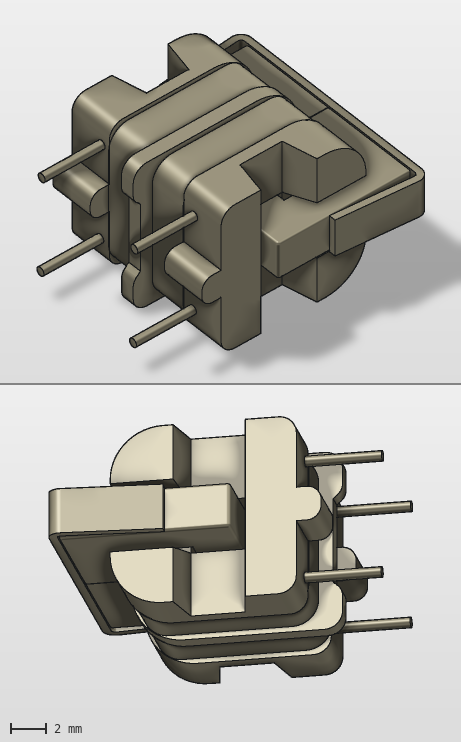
import cadquery as cq
import math

BACK_Y = 18.3

CLIP_WIDTH = 16.15
CLIP_THICKNESS = 0.5
CLIP_INNER_RADIUS = 0.25
CLIP_TIP_Y = 11.77

CORE_LENGTH = 14.15
CORE_HEIGHT = 2.65
CORE_FRONT_Y = 8.02
CORE_BACK_Y = BACK_Y - CLIP_THICKNESS
CORE_EDGE_RADIUS = 0.2
WINDOW_LENGTH = 8.85
WINDOW_FRONT_Y = 10.7
WINDOW_BACK_Y = 15.1
CORE_GAP = 0.04

BOBBIN_HEIGHT = 10.6
BOBBIN_BACK_Y = 15.0
BACK_CORNER_RADIUS = 3.0
FRONT_CORNER_RADIUS = 1.02
FOOT_Y = 2.98

BOBBIN_LENGTH = 12.85
BLOCK_INNER_X = 3.2
BLOCK_OUTER_X = BOBBIN_LENGTH / 2
BLOCK_FRONT_Y = 4.4
LUG_HEIGHT = 2.01
LUG_RADIUS = 0.8

CORE_CLEARANCE = 0.2
PASSAGE_FRONT_Y = CORE_FRONT_Y - CORE_CLEARANCE
PASSAGE_BACK_Y = WINDOW_FRONT_Y + CORE_CLEARANCE
PASSAGE_HEIGHT = CORE_HEIGHT + 2 * CORE_CLEARANCE
CHANNEL_FLOOR_X = 4.03
CHANNEL_FLARE = 0.51

SEPARATOR_THICKNESS = 1.0
SEPARATOR_CLEARANCE = 0.05
NOTCH_FLOOR_Y = 3.51
NOTCH_MOUTH_HEIGHT = 6.0
LOBE_RADIUS = 0.8

DRUM_FRONT_Y = 4.34
DRUM_BACK_Y = 14.35
DRUM_HEIGHT = 10.01
DRUM_CORNER_RADIUS = 1.5
DRUM_INNER_X = SEPARATOR_THICKNESS / 2 + SEPARATOR_CLEARANCE
TUBE_WALL = 0.5

PIN_DIAMETER = 0.6
PIN_X = 3.99
PIN_Z = 3.5
UPPER_ROW_SHIFT = 0.11


def box(x_min, x_max, y_min, y_max, height):
    """Box between two X limits and two Y limits, centred on Z = 0."""
    centre = ((x_min + x_max) / 2, (y_min + y_max) / 2, 0)
    return cq.Workplane("XY").box(x_max - x_min, y_max - y_min, height).translate(centre)


def make_clip():
    outer_radius = CLIP_INNER_RADIUS + CLIP_THICKNESS
    bend_x = CLIP_WIDTH / 2 - outer_radius
    bend_y = BACK_Y - outer_radius
    tip_inner_x = CORE_LENGTH / 2

    tip_dx = tip_inner_x - bend_x
    tip_dy = CLIP_TIP_Y - bend_y
    tip_distance = math.hypot(tip_dx, tip_dy)
    arm_angle = math.atan2(tip_dy, tip_dx) + math.acos(CLIP_INNER_RADIUS / tip_distance)
    middle_angle = (arm_angle + math.pi / 2) / 2
    tip_outer_x = tip_inner_x + CLIP_THICKNESS / math.cos(arm_angle)

    def bend_point(radius, angle):
        return (bend_x + radius * math.cos(angle), bend_y + radius * math.sin(angle))

    half = (
        cq.Workplane("XY", origin=(0, 0, -CORE_HEIGHT / 2))
        .moveTo(0, BACK_Y)
        .lineTo(bend_x, BACK_Y)
        .threePointArc(bend_point(outer_radius, middle_angle), bend_point(outer_radius, arm_angle))
        .lineTo(tip_outer_x, CLIP_TIP_Y)
        .lineTo(tip_inner_x, CLIP_TIP_Y)
        .lineTo(*bend_point(CLIP_INNER_RADIUS, arm_angle))
        .threePointArc(bend_point(CLIP_INNER_RADIUS, middle_angle), (bend_x, CORE_BACK_Y))
        .lineTo(0, CORE_BACK_Y)
        .close()
        .extrude(CORE_HEIGHT)
    )
    return half.union(half.mirror("YZ"))


def make_core_half(side):
    """U core on the -X side (side = -1) or the +X side (side = 1)."""
    ring = box(-CORE_LENGTH / 2, CORE_LENGTH / 2, CORE_FRONT_Y, CORE_BACK_Y, CORE_HEIGHT)
    ring = ring.edges().fillet(CORE_EDGE_RADIUS)
    ring = ring.cut(box(-WINDOW_LENGTH / 2, WINDOW_LENGTH / 2, WINDOW_FRONT_Y, WINDOW_BACK_Y, CORE_HEIGHT))
    near_x, far_x = sorted((side * CORE_GAP / 2, side * CORE_LENGTH / 2))
    return ring.intersect(box(near_x, far_x, CORE_FRONT_Y, CORE_BACK_Y, CORE_HEIGHT))


def make_plate(x_min, x_max, front_y):
    """Plate across the winding axis with large back corners and small front corners."""
    plate = box(x_min, x_max, front_y, BOBBIN_BACK_Y, BOBBIN_HEIGHT)
    plate = plate.edges("|X and >Y").fillet(BACK_CORNER_RADIUS)
    return plate.edges("|X and <Y").fillet(FRONT_CORNER_RADIUS)


def make_upright_channel():
    """Flared channel that runs the full height of the +X block."""
    return (
        cq.Workplane("XY", origin=(0, 0, -BOBBIN_HEIGHT / 2))
        .moveTo(CHANNEL_FLOOR_X, PASSAGE_FRONT_Y)
        .lineTo(BLOCK_OUTER_X, PASSAGE_FRONT_Y - CHANNEL_FLARE)
        .lineTo(BLOCK_OUTER_X, PASSAGE_BACK_Y + CHANNEL_FLARE)
        .lineTo(CHANNEL_FLOOR_X, PASSAGE_BACK_Y)
        .close()
        .extrude(BOBBIN_HEIGHT)
    )


def make_back_channel():
    """Flared channel from the upright channel out through the back of the +X block."""
    floor_z = PASSAGE_HEIGHT / 2
    mouth_z = floor_z + CHANNEL_FLARE
    return (
        cq.Workplane("XZ", origin=(0, BOBBIN_BACK_Y, 0))
        .moveTo(CHANNEL_FLOOR_X, -floor_z)
        .lineTo(BLOCK_OUTER_X, -mouth_z)
        .lineTo(BLOCK_OUTER_X, mouth_z)
        .lineTo(CHANNEL_FLOOR_X, floor_z)
        .close()
        .extrude(BOBBIN_BACK_Y - PASSAGE_FRONT_Y)
    )


def make_end_block():
    """End block on the +X side."""
    block = make_plate(BLOCK_INNER_X, BLOCK_OUTER_X, BLOCK_FRONT_Y)
    lug = box(BLOCK_INNER_X, BLOCK_OUTER_X, FOOT_Y, BLOCK_FRONT_Y, LUG_HEIGHT)
    lug = lug.edges("|X and <Y").fillet(LUG_RADIUS)
    return block.union(lug).cut(make_upright_channel()).cut(make_back_channel())


def make_drum():
    """Wound drum on the +X side."""
    drum = box(DRUM_INNER_X, BLOCK_INNER_X, DRUM_FRONT_Y, DRUM_BACK_Y, DRUM_HEIGHT)
    return drum.edges("|X").fillet(DRUM_CORNER_RADIUS)


def make_tube_bar():
    """Solid bar filling the tube between the end blocks, walls included."""
    front_y = PASSAGE_FRONT_Y - TUBE_WALL
    back_y = PASSAGE_BACK_Y + TUBE_WALL
    return box(-BLOCK_INNER_X, BLOCK_INNER_X, front_y, back_y, PASSAGE_HEIGHT + 2 * TUBE_WALL)


def make_bobbin():
    side = make_end_block().union(make_drum())
    passage = box(-BLOCK_OUTER_X, BLOCK_OUTER_X, PASSAGE_FRONT_Y, PASSAGE_BACK_Y, PASSAGE_HEIGHT)
    return side.union(make_tube_bar()).union(side.mirror("YZ")).cut(passage)


def make_separator():
    half_thickness = SEPARATOR_THICKNESS / 2
    plate = make_plate(-half_thickness, half_thickness, FOOT_Y)

    mouth_z = NOTCH_MOUTH_HEIGHT / 2
    floor_z = mouth_z - (NOTCH_FLOOR_Y - FOOT_Y)
    notch = (
        cq.Workplane("YZ", origin=(-half_thickness, 0, 0))
        .moveTo(FOOT_Y, -mouth_z)
        .lineTo(NOTCH_FLOOR_Y, -floor_z)
        .lineTo(NOTCH_FLOOR_Y, floor_z)
        .lineTo(FOOT_Y, mouth_z)
        .close()
        .extrude(SEPARATOR_THICKNESS)
    )
    plate = plate.cut(notch)

    for z in (-mouth_z, mouth_z):
        corner = cq.selectors.NearestToPointSelector((0, FOOT_Y, z))
        plate = plate.edges("|X").edges(corner).fillet(LOBE_RADIUS)
    return plate.cut(make_tube_bar())


def make_pin(x, z):
    """Pin standing on the front face of an end block."""
    return cq.Workplane("XZ", origin=(x, BLOCK_FRONT_Y, z)).circle(PIN_DIAMETER / 2).extrude(BLOCK_FRONT_Y)


clip = make_clip()
core_halves = [make_core_half(side) for side in (-1, 1)]
bobbin = make_bobbin()
separator = make_separator()
pins = []
for row_z, row_shift in ((PIN_Z, UPPER_ROW_SHIFT), (-PIN_Z, 0)):
    for side in (-1, 1):
        pins.append(make_pin(side * PIN_X + row_shift, row_z))

bodies = [clip, *core_halves, bobbin, separator, *pins]
result = cq.Compound.makeCompound([body.solids().val() for body in bodies])